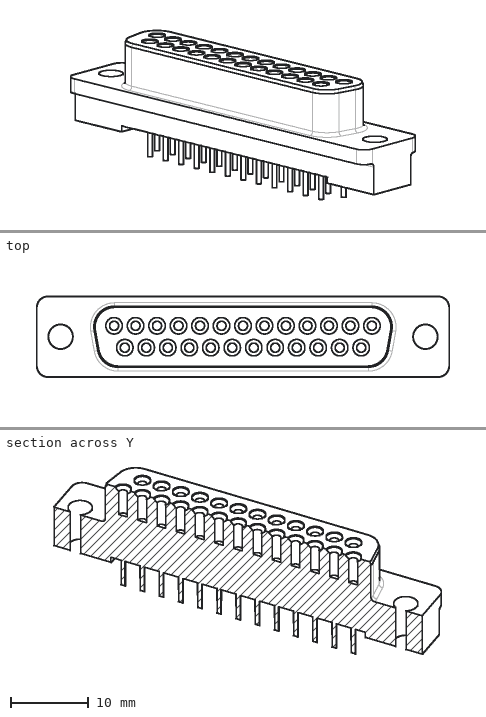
import cadquery as cq
import math

flange_length = 53.1
flange_width = 10.4
flange_thickness = 1.95
flange_corner_radius = 1.5

block_width = 6.9
block_depth = 6.15
block_root_fillet = 0.5
notch_length = 36.6
notch_depth = 0.8

body_width = 7.85
body_height = 6.1
body_long_side = 39.4
body_side_angle = 10.0
body_corner_radius = 2.65
body_root_fillet = 0.5
body_rim_inset = 0.15
body_rim_drop = 0.5

mount_hole_spacing = 46.95
mount_hole_diameter = 3.15

long_row_count = 13
long_row_span = 33.2
contact_pitch = long_row_span / (long_row_count - 1)
socket_row_spacing = 2.8
socket_mouth_diameter = 2.1
socket_bore_diameter = 1.15
socket_lip_depth = 0.15
socket_cone_depth = 0.4
socket_depth = 4.25
pin_row_spacing = 2.75
pin_diameter = 0.65
pin_end = 9.25
selection_margin = 0.05


def contact_points(row_spacing):
    """Centres of both contact rows, row_spacing apart in Y."""
    rows = ((long_row_count, row_spacing / 2), (long_row_count - 1, -row_spacing / 2))
    return [
        ((i - (count - 1) / 2) * contact_pitch, y)
        for count, y in rows
        for i in range(count)
    ]


def make_flange():
    return (
        cq.Workplane("XY")
        .rect(flange_length, flange_width)
        .extrude(-flange_thickness)
        .edges("|Z")
        .fillet(flange_corner_radius)
    )


def make_block():
    block = cq.Workplane("XY").rect(flange_length, block_width).extrude(-block_depth)
    notch = (
        cq.Workplane("XY", origin=(0, 0, -block_depth))
        .rect(notch_length, block_width)
        .extrude(notch_depth)
    )
    return block.cut(notch)


def make_body():
    long_half = body_long_side / 2
    short_half = long_half - body_width * math.tan(math.radians(body_side_angle))
    half_width = body_width / 2
    corners = [
        (-long_half, half_width),
        (long_half, half_width),
        (short_half, -half_width),
        (-short_half, -half_width),
    ]
    return (
        cq.Workplane("XY", origin=(0, 0, -flange_thickness))
        .polyline(corners)
        .close()
        .extrude(flange_thickness + body_height)
        .edges("|Z")
        .fillet(body_corner_radius)
        .faces(">Z")
        .chamfer(body_rim_drop, body_rim_inset)
    )


def make_sockets():
    """Cutters for blind contact bores, each with a straight lip and a cone below it."""
    points = contact_points(socket_row_spacing)
    bores = (
        cq.Workplane("XY", origin=(0, 0, body_height))
        .pushPoints(points)
        .circle(socket_bore_diameter / 2)
        .extrude(-socket_depth)
    )
    lips = (
        cq.Workplane("XY", origin=(0, 0, body_height))
        .pushPoints(points)
        .circle(socket_mouth_diameter / 2)
        .extrude(-socket_lip_depth)
    )
    cone = cq.Solid.makeCone(
        socket_bore_diameter / 2,
        socket_mouth_diameter / 2,
        socket_cone_depth,
        pnt=cq.Vector(0, 0, body_height - socket_lip_depth - socket_cone_depth),
    )
    cones = cq.Workplane("XY").pushPoints(points).eachpoint(lambda place: cone.moved(place))
    return bores.union(cones).union(lips)


def make_pins():
    """Solder pins, rooted inside the block."""
    return (
        cq.Workplane("XY", origin=(0, 0, -flange_thickness))
        .pushPoints(contact_points(pin_row_spacing))
        .circle(pin_diameter / 2)
        .extrude(flange_thickness - pin_end)
    )


def make_mount_holes():
    return (
        cq.Workplane("XY")
        .pushPoints([(-mount_hole_spacing / 2, 0), (mount_hole_spacing / 2, 0)])
        .circle(mount_hole_diameter / 2)
        .extrude(-block_depth)
    )


def root_region(height, width, length):
    """Selector for the edges within a length by width area at one height."""
    return cq.selectors.BoxSelector(
        (-length / 2, -width / 2 - selection_margin, height - selection_margin),
        (length / 2, width / 2 + selection_margin, height + selection_margin),
    )


shell = make_flange().union(make_block()).union(make_body())
body_root = root_region(0, body_width, body_long_side)
shell = shell.edges(body_root).fillet(body_root_fillet)
block_root = root_region(-flange_thickness, block_width, flange_length)
shell = shell.edges(block_root).edges("|X").fillet(block_root_fillet)

result = shell.cut(make_sockets()).cut(make_mount_holes()).union(make_pins())